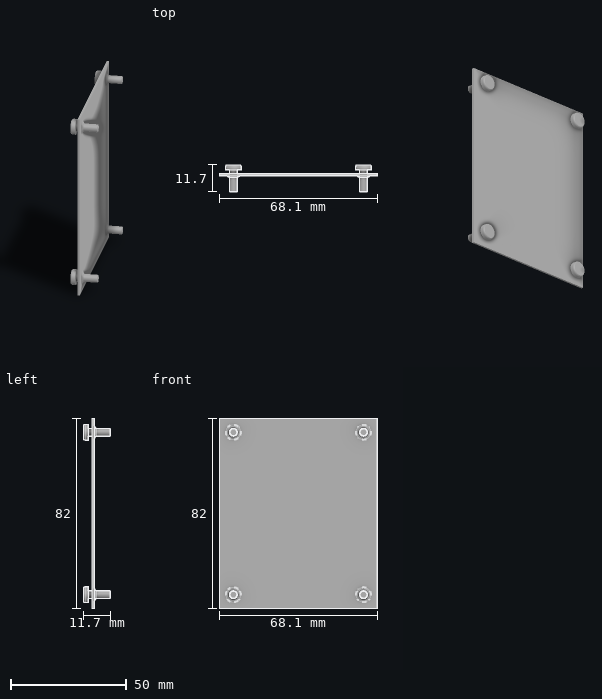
import cadquery as cq

plate_width = 68.1
plate_height = 82.0
plate_thickness = 1.0

screw_edge_distance = 6.0

collar_height = 0.8
collar_base_diameter = 5.7
collar_fillet = 1.0

shank_diameter = 3.45
shank_chamfer = 0.25
screw_length = 11.65
head_diameter = 6.9
head_height = 2.1
head_rounding_height = 0.8
head_rounding_width = 0.4
head_gap = 1.55

head_underside_y = plate_thickness + head_gap
head_top_y = head_underside_y + head_height
screw_tip_y = head_top_y - screw_length

screw_offset_x = plate_width / 2 - screw_edge_distance
screw_offset_z = plate_height / 2 - screw_edge_distance
screw_positions = [
    (x, z)
    for x in (-screw_offset_x, screw_offset_x)
    for z in (-screw_offset_z, screw_offset_z)
]


def cylinder_along_y(diameter, start_y, end_y):
    """Cylinder on the Y axis between two Y values."""
    return (
        cq.Workplane("XZ", origin=(0, end_y, 0))
        .circle(diameter / 2)
        .extrude(end_y - start_y)
    )


def make_collar():
    """Cone on the Y axis, narrowing from the plate's front face to the shank."""
    return (
        cq.Workplane("XY")
        .moveTo(0, 0)
        .lineTo(collar_base_diameter / 2, 0)
        .lineTo(shank_diameter / 2, -collar_height)
        .lineTo(0, -collar_height)
        .close()
        .revolve(360, (0, 0, 0), (0, 1, 0))
    )


def make_plate():
    """Sheet with four filleted collars, each bored to fit a screw shank."""
    plate = cq.Workplane("XY").box(
        plate_width, plate_thickness, plate_height, centered=(True, False, True)
    )
    for x, z in screw_positions:
        plate = plate.union(make_collar().translate((x, 0, z)))

    front_face_zone = cq.selectors.BoxSelector(
        (-plate_width, -collar_height / 2, -plate_height),
        (plate_width, plate_thickness / 2, plate_height),
    )
    plate = plate.edges("%CIRCLE").edges(front_face_zone).fillet(collar_fillet)

    for x, z in screw_positions:
        bore = cylinder_along_y(shank_diameter, -collar_height, plate_thickness)
        plate = plate.cut(bore.translate((x, 0, z)))
    return plate


def make_head():
    """Pan head on the Y axis: an arc tangent to its side runs up to the flat top."""
    head_radius = head_diameter / 2
    side_top_y = head_top_y - head_rounding_height
    return (
        cq.Workplane("XY")
        .moveTo(0, head_underside_y)
        .lineTo(head_radius, head_underside_y)
        .lineTo(head_radius, side_top_y)
        .tangentArcPoint((head_radius - head_rounding_width, head_top_y), relative=False)
        .lineTo(0, head_top_y)
        .close()
        .revolve(360, (0, 0, 0), (0, 1, 0))
    )


def make_screw():
    """Pan-head screw on the Y axis, tip pointing to -Y."""
    shank = cylinder_along_y(shank_diameter, screw_tip_y, head_underside_y)
    shank = shank.faces("<Y").chamfer(shank_chamfer)
    return shank.union(make_head())


plate = make_plate()
screws = [make_screw().translate((x, 0, z)) for x, z in screw_positions]

result = cq.Compound.makeCompound([plate.val(), *[screw.val() for screw in screws]])